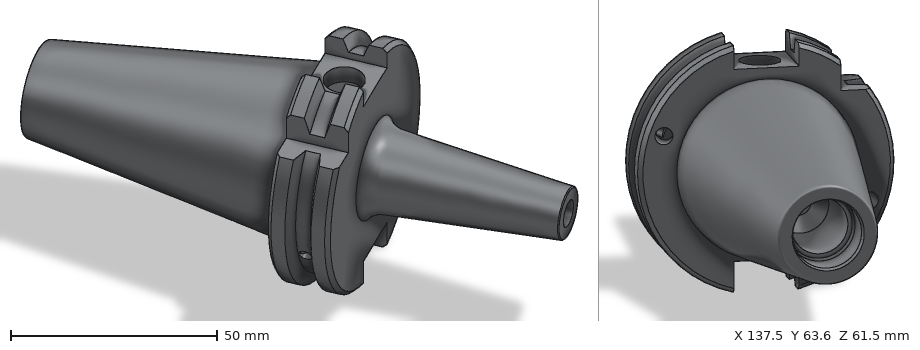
import cadquery as cq
import math

total_length = 137.5

gauge_x = 68.3
gauge_radius = 22.3
taper_slope = 7 / 48
small_end_radius = gauge_radius - taper_slope * gauge_x
small_end_fillet = 0.8

flange_start_x = 71.4
flange_end_x = 87.5
flange_width = flange_end_x - flange_start_x
flange_radius = 31.8
flange_chamfer = 1.1
groove_x = (flange_start_x + flange_end_x) / 2
groove_rim_width = 6.7
groove_floor_width = 3.8
groove_floor_radius = 28.2

nose_cone_x = 92.0
nose_cone_radius = 10.6
nose_tip_radius = 6.7
nose_tip_chamfer = 0.3
nose_root_radius = 13.2

counterbore_radius = 8.5
counterbore_depth = 10.0
counterbore_taper_length = 1.2
counterbore_taper_step = 0.4
thread_bore_radius = 7.0
thread_bore_depth = 32.0
through_radius = 3.5

slot_width = 16.1
upper_slot_floor = 25.0
lower_slot_floor = 22.8
notch_offset = 18.4
slot_hole_radius = 5.1
slot_hole_depth = 4.7

coolant_angle = 20.0
coolant_entry_distance = 27.1
coolant_tilt = 15.0
coolant_radius = 2.13
coolant_outlet_radius = 1.6


def turned_body():
    rim_half = groove_rim_width / 2
    floor_half = groove_floor_width / 2
    outline = (
        cq.Workplane("XY")
        .moveTo(0, 0)
        .lineTo(0, small_end_radius)
        .lineTo(gauge_x, gauge_radius)
        .lineTo(flange_start_x, gauge_radius)
        .lineTo(flange_start_x, flange_radius - flange_chamfer)
        .lineTo(flange_start_x + flange_chamfer, flange_radius)
        .lineTo(groove_x - rim_half, flange_radius)
        .lineTo(groove_x - floor_half, groove_floor_radius)
        .lineTo(groove_x + floor_half, groove_floor_radius)
        .lineTo(groove_x + rim_half, flange_radius)
        .lineTo(flange_end_x - flange_chamfer, flange_radius)
        .lineTo(flange_end_x, flange_radius - flange_chamfer)
        .lineTo(flange_end_x, 0)
        .close()
    )
    nose = (
        cq.Workplane("XY")
        .moveTo(groove_x, 0)
        .lineTo(total_length, 0)
        .lineTo(total_length, nose_tip_radius)
        .lineTo(nose_cone_x, nose_cone_radius)
        .tangentArcPoint((flange_end_x, nose_root_radius), relative=False)
        .lineTo(groove_x, nose_root_radius)
        .close()
    )
    axis = ((0, 0, 0), (1, 0, 0))
    shank = outline.revolve(360, *axis).faces("<X").edges().fillet(small_end_fillet)
    front = nose.revolve(360, *axis).faces(">X").edges().chamfer(nose_tip_chamfer)
    return shank.union(front)


def axial_bore():
    """Tapered-end counterbore and thread bore, narrowing in a 90-degree cone to the through hole."""
    cone_end_x = thread_bore_depth + thread_bore_radius - through_radius
    return (
        cq.Workplane("XY")
        .moveTo(0, 0)
        .lineTo(0, counterbore_radius + counterbore_taper_step)
        .lineTo(counterbore_taper_length, counterbore_radius)
        .lineTo(counterbore_depth - counterbore_taper_length, counterbore_radius)
        .lineTo(counterbore_depth, counterbore_radius - counterbore_taper_step)
        .lineTo(counterbore_depth, thread_bore_radius)
        .lineTo(thread_bore_depth, thread_bore_radius)
        .lineTo(cone_end_x, through_radius)
        .lineTo(total_length, through_radius)
        .lineTo(total_length, 0)
        .close()
        .revolve(360, (0, 0, 0), (1, 0, 0))
    )


def flange_cutter(y_min, y_max, z_min, z_max):
    """Box spanning the flange width between the given Y and Z limits."""
    return cq.Workplane("XY").box(
        flange_width, y_max - y_min, z_max - z_min, centered=False
    ).translate((flange_start_x, y_min, z_min))


def slot_hole():
    return (
        cq.Workplane("XY", origin=(groove_x, 0, upper_slot_floor))
        .circle(slot_hole_radius)
        .extrude(-slot_hole_depth)
    )


def coolant_passage():
    """Inlet sloping inward from the flange face, with a radial outlet in the groove."""
    tilt = math.radians(coolant_tilt)
    reach = groove_x - flange_start_x
    meeting_distance = coolant_entry_distance - reach * math.tan(tilt)
    direction = cq.Vector(math.cos(tilt), -math.sin(tilt), 0)
    entry = cq.Vector(flange_start_x, coolant_entry_distance, 0)
    lead_in = coolant_radius
    inlet = cq.Solid.makeCylinder(
        coolant_radius, reach / math.cos(tilt) + lead_in, entry - direction * lead_in, direction
    )
    outlet = cq.Solid.makeCylinder(
        coolant_outlet_radius,
        flange_radius - meeting_distance,
        cq.Vector(groove_x, meeting_distance, 0),
        cq.Vector(0, 1, 0),
    )
    return cq.Workplane("XY").add(inlet.fuse(outlet))


half_slot = slot_width / 2
result = turned_body().cut(axial_bore())
result = result.cut(flange_cutter(-half_slot, half_slot, upper_slot_floor, flange_radius))
result = result.cut(flange_cutter(-half_slot, half_slot, -flange_radius, -lower_slot_floor))
result = result.cut(flange_cutter(-flange_radius, -notch_offset, notch_offset, flange_radius))
result = result.cut(slot_hole())
for half_turn in (0, 180):
    passage = coolant_passage().rotate((0, 0, 0), (1, 0, 0), coolant_angle + half_turn)
    result = result.cut(passage)